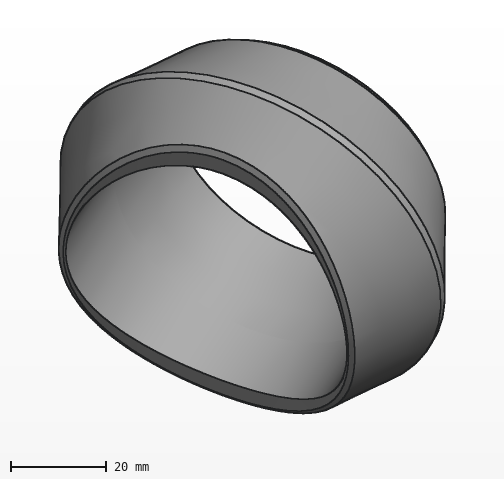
import cadquery as cq
import math

length = 46.2
waist_radius = 44.05
flank_angle = math.radians(25)

back_y = length / 2
bevel_depth = 1.9
bevel_outer_radius = 34.1
bevel_inner_radius = 32.25

waist_back_y = back_y - 22.8
waist_width = 1.9
waist_front_y = waist_back_y - waist_width

inlet_radius = 32.5
outlet_radius = 30.05
taper_start_y = 0.35

pipe_radius = 71.4
saddle_crown_y = back_y - 38.1
saddle_chamfer = 1.0

blank_front_y = -back_y - 3.5
blank_front_radius = waist_radius - (waist_front_y - blank_front_y) * math.tan(flank_angle)


def revolve_about_y(points):
    """Revolve a closed (radius, y) half-section, starting from the +Z side."""
    section = [(y, radius) for radius, y in points]
    return cq.Workplane("YZ").polyline(section).close().revolve(360, (0, 0, 0), (1, 0, 0))


def make_blank():
    return revolve_about_y([
        (0, blank_front_y),
        (blank_front_radius, blank_front_y),
        (waist_radius, waist_front_y),
        (waist_radius, waist_back_y),
        (bevel_outer_radius, back_y - bevel_depth),
        (bevel_inner_radius, back_y),
        (0, back_y),
    ])


def make_run_pipe():
    return (
        cq.Workplane("XY")
        .center(0, saddle_crown_y - pipe_radius)
        .circle(pipe_radius)
        .extrude(waist_radius, both=True)
    )


def make_bore():
    return revolve_about_y([
        (0, blank_front_y),
        (inlet_radius, blank_front_y),
        (inlet_radius, taper_start_y),
        (outlet_radius, back_y),
        (0, back_y),
    ])


saddled_blank = make_blank().cut(make_run_pipe())
chamfered_blank = saddled_blank.faces("<Y").edges().chamfer(saddle_chamfer)
result = chamfered_blank.cut(make_bore())